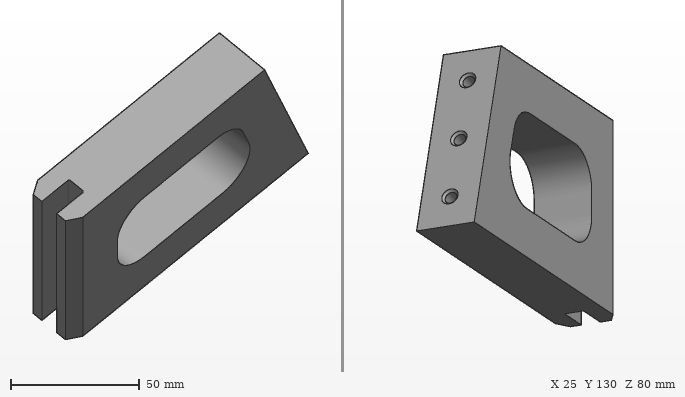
import cadquery as cq
import math

thickness = 25.0
length = 130.0
height = 80.0
top_length = 106.0

bevel_depth = 6.0
bevel_width = 3.6
slot_width = 8.2
slot_depth = 15.0
slot_corner_radius = 0.8

frame_width = 20.0
front_frame_width = 25.0
window_corner_radius = 15.0

hole_count = 3
hole_pitch = 27.5
hole_diameter = 5.0
countersink_diameter = 7.0
hole_depth = 15.0

slope_angle = math.atan2(length - top_length, height)
slope_sin = math.sin(slope_angle)
slope_cos = math.cos(slope_angle)
slope_tan = math.tan(slope_angle)


def back_face_y(z, inset=0.0):
    """Y of a line parallel to the back face, set inwards by inset, at height z."""
    return length - z * slope_tan - inset / slope_cos


def make_block():
    """Side profile extruded through the thickness, centred on X = 0."""
    profile = [
        (0, 0),
        (length, 0),
        (top_length, height),
        (0, height),
    ]
    return cq.Workplane("YZ").polyline(profile).close().extrude(thickness / 2, both=True)


def make_window():
    """Rounded opening whose back wall is parallel to the back face."""
    bottom = frame_width
    top = height - frame_width
    profile = [
        (front_frame_width, bottom),
        (back_face_y(bottom, frame_width), bottom),
        (back_face_y(top, frame_width), top),
        (front_frame_width, top),
    ]
    window = cq.Workplane("YZ").polyline(profile).close().extrude(thickness / 2, both=True)
    return window.edges("|X").fillet(window_corner_radius)


def make_bevel(side):
    """Wedge removed from one front corner; side is -1 or 1."""
    outer_x = side * thickness / 2
    profile = [
        (outer_x, 0),
        (outer_x - side * bevel_width, 0),
        (outer_x, bevel_depth),
    ]
    return cq.Workplane("XY").polyline(profile).close().extrude(height)


def make_slot():
    """Slot along the full front edge, with rounded corners at its floor."""
    slot = cq.Workplane("XY").rect(slot_width, 2 * slot_depth).extrude(height)
    return slot.edges("|Z and >Y").fillet(slot_corner_radius)


def make_hole(z):
    """Blind countersunk hole square to the back face, its mouth centred at height z."""
    mouth = cq.Vector(0, back_face_y(z), z)
    inward = cq.Vector(0, -slope_cos, -slope_sin)
    hole_radius = hole_diameter / 2
    countersink_radius = countersink_diameter / 2
    countersink_depth = countersink_radius - hole_radius
    bore = cq.Solid.makeCylinder(hole_radius, hole_depth, mouth, inward)
    cone = cq.Solid.makeCone(countersink_radius, hole_radius, countersink_depth, mouth, inward)
    return bore.fuse(cone)


result = make_block().cut(make_window()).cut(make_slot())

for side in (-1, 1):
    result = result.cut(make_bevel(side))

for index in range(hole_count):
    offset_along_slope = (index - (hole_count - 1) / 2) * hole_pitch
    result = result.cut(make_hole(height / 2 + offset_along_slope * slope_cos))